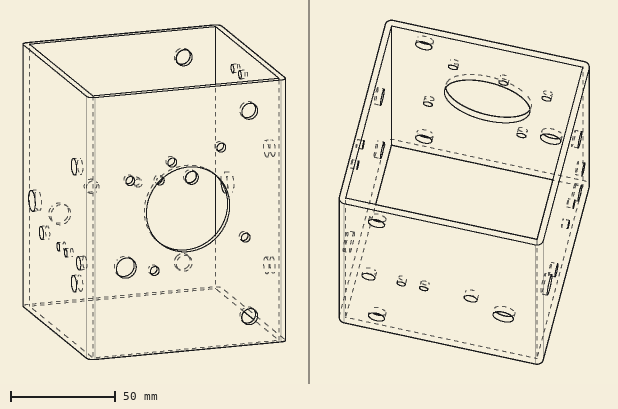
import cadquery as cq
import math

SIDE = 100.0
HEIGHT = 130.0
WALL = 3.1
CORNER_RADIUS = 3.1

BOLT_DIAMETER = 7.9
CABLE_DIAMETER = 10.0
PEG_DIAMETER = 6.4
PIN_DIAMETER = 4.0
SCREW_DIAMETER = 4.4
BORE_DIAMETER = 42.0

FRONT_BOLTS = [(28.1, 32.0), (28.1, 90.0)]
FRONT_CABLE = [(-34.0, 56.0)]

SIDE_BOLT_Y = 31.1
SIDE_BOLT_END_GAP = 14.0
SIDE_BOLTS = [(SIDE_BOLT_Y, z) for z in (SIDE_BOLT_END_GAP, HEIGHT - SIDE_BOLT_END_GAP)]
SIDE_CABLE = [(-SIDE_BOLT_Y, 44.0)]

PIN_SPACING = 11.0
FRONT_ROW_Z = 44.0
FRONT_PEGS = [(x, FRONT_ROW_Z) for x in (-20.0, 35.0)]
FRONT_FIRST_PIN_X = 5.0
FRONT_PINS = [(FRONT_FIRST_PIN_X + i * PIN_SPACING, FRONT_ROW_Z) for i in range(2)]
LEFT_ROW_Z = 56.0
LEFT_PEGS = [(y, LEFT_ROW_Z) for y in (-15.1, 35.0)]
LEFT_FIRST_PIN_Y = 7.9
LEFT_PINS = [(LEFT_FIRST_PIN_Y + i * PIN_SPACING, LEFT_ROW_Z) for i in range(2)]
BACK_ROW_Z = 116.0
BACK_FIRST_PIN_X = -22.0
BACK_PINS = [(BACK_FIRST_PIN_X + i * PIN_SPACING, BACK_ROW_Z) for i in range(2)]

BORE_Y = 0.0
BORE_Z = 70.2
BORE = [(BORE_Y, BORE_Z)]

SCREW_CIRCLE_RADIUS = 33.5
SCREW_COUNT = 4
FIRST_SCREW_ANGLE = 60
SCREW_ANGLES = [math.radians(FIRST_SCREW_ANGLE + i * 360 / SCREW_COUNT) for i in range(SCREW_COUNT)]
RING_SCREWS = [
    (BORE_Y + SCREW_CIRCLE_RADIUS * math.cos(angle), BORE_Z + SCREW_CIRCLE_RADIUS * math.sin(angle))
    for angle in SCREW_ANGLES
]
EXTRA_SCREW = [(-7.9, 94.1)]


def square_tube():
    outer = cq.Workplane("XY").rect(SIDE, SIDE).extrude(HEIGHT).edges("|Z").fillet(CORNER_RADIUS)
    inner_side = SIDE - 2 * WALL
    return outer.cut(cq.Workplane("XY").rect(inner_side, inner_side).extrude(HEIGHT))


def drills_x(points, diameter, low=True, high=True):
    """Cylinders along X at (y, z) points, reaching the -X wall, the +X wall or both."""
    start = -SIDE / 2 if low else 0
    end = SIDE / 2 if high else 0
    plane = cq.Workplane("YZ", origin=(start, 0, 0))
    return plane.pushPoints(points).circle(diameter / 2).extrude(end - start)


def drills_y(points, diameter, low=True, high=True):
    """Cylinders along Y at (x, z) points, reaching the -Y wall, the +Y wall or both."""
    start = -SIDE / 2 if low else 0
    end = SIDE / 2 if high else 0
    plane = cq.Workplane("XZ", origin=(0, end, 0))
    return plane.pushPoints(points).circle(diameter / 2).extrude(end - start)


drills = [
    drills_y(FRONT_BOLTS, BOLT_DIAMETER),
    drills_y(FRONT_CABLE, CABLE_DIAMETER),
    drills_y(FRONT_PEGS, PEG_DIAMETER, high=False),
    drills_y(FRONT_PINS, PIN_DIAMETER, high=False),
    drills_y(BACK_PINS, PIN_DIAMETER, low=False),
    drills_x(SIDE_BOLTS, BOLT_DIAMETER),
    drills_x(SIDE_CABLE, CABLE_DIAMETER),
    drills_x(LEFT_PEGS, PEG_DIAMETER, high=False),
    drills_x(LEFT_PINS, PIN_DIAMETER, high=False),
    drills_x(BORE, BORE_DIAMETER, low=False),
    drills_x(RING_SCREWS + EXTRA_SCREW, SCREW_DIAMETER, low=False),
]

result = square_tube()
for drill in drills:
    result = result.cut(drill)